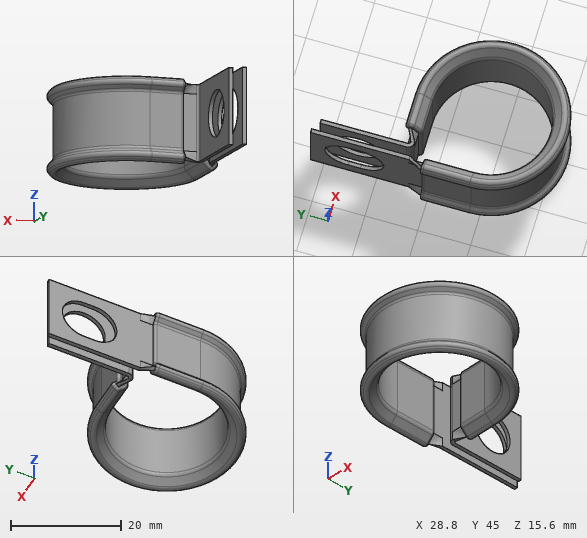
import cadquery as cq
import math

CUSHION_INNER_R = 11.15
CUSHION_OUTER_R = 13.35
RIM_R = 14.40
CUSHION_HEIGHT = 15.67
INNER_FLARE_OFFSET = 5.15
OUTER_FLARE_OFFSET = 8.05
RIM_FILLET = 0.785
INNER_BEND_FILLET = 1.13
OUTER_BEND_FILLET = 0.76
CUSHION_END_FILLET = 0.5

RING_ANGLE = 270
SIDE_LEG_LENGTH = 9.38
TOP_LEG_LENGTH = 6.57

STRAP_INNER_R = 11.85
STRAP_THICKNESS = 0.75
STRAP_WIDTH = 14.25
STRAP_OUTER_R = STRAP_INNER_R + STRAP_THICKNESS
STRAP_INSERTION = 1.0

CORNER_WIDTH = 1.80
CORNER_LENGTH = 2.56

SIDE_TAB_END_Y = 30.56
TOP_TAB_END_Y = 29.4
TAB_GAP = 1.48
BEND_INNER_R = 0.45
HOLE_DIAMETER = 8.65
SLOT_WIDTH = 8.8
SLOT_LENGTH = 11.1
HOLE_Y = 22.28

half_height = CUSHION_HEIGHT / 2
half_strap = STRAP_WIDTH / 2
bend_outer_r = BEND_INNER_R + STRAP_THICKNESS
top_tab_outer_x = -STRAP_INNER_R + TAB_GAP
top_tab_inner_x = top_tab_outer_x + STRAP_THICKNESS
hinge_z = half_strap - CORNER_WIDTH
cos45 = math.sqrt(0.5)

SIDE_PLANE = cq.Plane(origin=(0, 0, 0), xDir=(-1, 0, 0), normal=(0, 1, 0))


def rim_corners():
    """Sharp outer and top corners of the flared rim as (radius, height)."""
    fillet_overshoot = RIM_FILLET * (math.sqrt(2) - 1)
    nose_r = RIM_R + fillet_overshoot
    crest_z = half_height + fillet_overshoot
    nose = (nose_r, nose_r - OUTER_FLARE_OFFSET)
    crest = (crest_z + INNER_FLARE_OFFSET, crest_z)
    return nose, crest


def rounded_outline(plane, corners):
    """Closed outline whose corners are ((x, y), fillet radius) pairs in the plane."""
    points = [cq.Vector(*corner) for corner, _ in corners]
    outline = cq.Workplane(plane)
    for i, (_, radius) in enumerate(corners):
        point = points[i]
        to_previous = (points[i - 1] - point).normalized()
        to_next = (points[(i + 1) % len(points)] - point).normalized()
        half_angle = to_previous.getAngle(to_next) / 2
        setback = radius / math.tan(half_angle)
        middle_distance = radius / math.sin(half_angle) - radius
        start = (point + to_previous * setback).toTuple()[:2]
        middle = (point + (to_previous + to_next).normalized() * middle_distance).toTuple()[:2]
        end = (point + to_next * setback).toTuple()[:2]
        outline = outline.moveTo(*start) if i == 0 else outline.lineTo(*start)
        outline = outline.threePointArc(middle, end)
    return outline.close()


def cushion_section():
    """Cushion section on the -X side of the ring, facing +Y."""
    nose, crest = rim_corners()
    inner_bend = (CUSHION_INNER_R, CUSHION_INNER_R - INNER_FLARE_OFFSET)
    outer_bend = (CUSHION_OUTER_R, CUSHION_OUTER_R - OUTER_FLARE_OFFSET)
    upper = [
        (outer_bend, OUTER_BEND_FILLET),
        (nose, RIM_FILLET),
        (crest, RIM_FILLET),
        (inner_bend, INNER_BEND_FILLET),
    ]
    lower = [((r, -z), fillet) for (r, z), fillet in reversed(upper)]
    return rounded_outline(SIDE_PLANE, upper + lower)


def cushion_leg(length):
    """Straight cushion leg along +Y with a rounded free end."""
    leg = cushion_section().extrude(length)
    return leg.faces(">Y").edges().fillet(CUSHION_END_FILLET)


def strap_plate(start_y, end_y, width):
    """Flat run of the strap along +Y on the -X side of the ring."""
    return (
        cq.Workplane("XY")
        .box(STRAP_THICKNESS, end_y - start_y, width, centered=(False, False, True))
        .translate((-STRAP_OUTER_R, start_y, 0))
    )


def flared_corner(start_y):
    """Upper strap corner, turned out 45 degrees at start_y and flat one corner length later."""
    hinge_inner = (STRAP_INNER_R, hinge_z)
    hinge_outer = (STRAP_OUTER_R, hinge_z)
    half_skew = STRAP_THICKNESS / 2 * cos45
    tip_r = (STRAP_INNER_R + STRAP_OUTER_R) / 2 + CORNER_WIDTH * cos45
    tip_z = tip_r - (INNER_FLARE_OFFSET + OUTER_FLARE_OFFSET) / 2
    flared = [
        hinge_inner,
        hinge_outer,
        (tip_r + half_skew, tip_z - half_skew),
        (tip_r - half_skew, tip_z + half_skew),
    ]
    flat = [hinge_inner, hinge_outer, (STRAP_OUTER_R, half_strap), (STRAP_INNER_R, half_strap)]
    return (
        cq.Workplane(SIDE_PLANE)
        .workplane(offset=start_y)
        .polyline(flared)
        .close()
        .workplane(offset=CORNER_LENGTH)
        .polyline(flat)
        .close()
        .loft(ruled=True)
    )


def strap_transition(start_y):
    """Strap leaving the cushion: flat in the middle, both corners flared."""
    corner = flared_corner(start_y)
    middle = strap_plate(start_y - STRAP_INSERTION, start_y + CORNER_LENGTH, 2 * hinge_z)
    return middle.union(corner).union(corner.mirror("XY"))


def to_top_side(leg):
    """Swap a leg from the -X side (running +Y) to the +Y side (running -X)."""
    return leg.mirror((1, 1, 0))


def ring():
    """Three-quarter cushion ring from the -X side round to the +Y side."""
    return cushion_section().revolve(RING_ANGLE, (0, 0), (0, 1))


def side_leg():
    """Cushion leg and straight slotted tab on the -X side."""
    slot = (
        cq.Workplane("YZ")
        .center(HOLE_Y, 0)
        .slot2D(SLOT_LENGTH, SLOT_WIDTH)
        .extrude(-RIM_R)
    )
    tab = strap_plate(SIDE_LEG_LENGTH + CORNER_LENGTH, SIDE_TAB_END_Y, STRAP_WIDTH)
    transition = strap_transition(SIDE_LEG_LENGTH)
    return cushion_leg(SIDE_LEG_LENGTH).union(transition).union(tab.cut(slot))


def bent_tab():
    """Strap end bent from the +Y side of the ring into a tab with a round hole."""
    bend_x = top_tab_inner_x + BEND_INNER_R
    bend_y = STRAP_INNER_R + bend_outer_r
    outer_mid = bend_outer_r * cos45
    inner_mid = BEND_INNER_R * cos45
    flat_end_x = -TOP_LEG_LENGTH - CORNER_LENGTH
    hole = (
        cq.Workplane("YZ")
        .center(HOLE_Y, 0)
        .circle(HOLE_DIAMETER / 2)
        .extrude(-RIM_R)
    )
    return (
        cq.Workplane("XY")
        .moveTo(flat_end_x, STRAP_INNER_R)
        .lineTo(bend_x, STRAP_INNER_R)
        .threePointArc((bend_x - outer_mid, bend_y - outer_mid), (top_tab_outer_x, bend_y))
        .lineTo(top_tab_outer_x, TOP_TAB_END_Y)
        .lineTo(top_tab_inner_x, TOP_TAB_END_Y)
        .lineTo(top_tab_inner_x, bend_y)
        .threePointArc((bend_x - inner_mid, bend_y - inner_mid), (bend_x, STRAP_OUTER_R))
        .lineTo(flat_end_x, STRAP_OUTER_R)
        .close()
        .extrude(half_strap, both=True)
        .cut(hole)
    )


def top_leg():
    """Cushion leg, flared strap and bent tab on the +Y side."""
    cushion = to_top_side(cushion_leg(TOP_LEG_LENGTH))
    transition = to_top_side(strap_transition(TOP_LEG_LENGTH))
    return cushion.union(transition).union(bent_tab())


result = ring().union(side_leg()).union(top_leg())